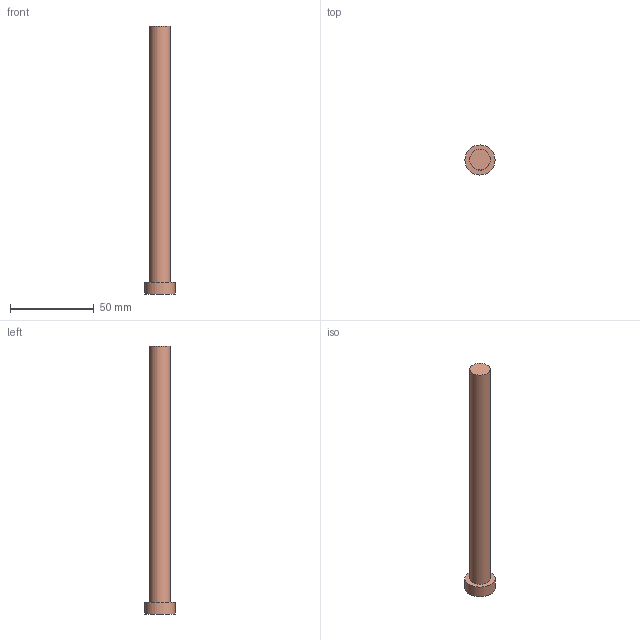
import cadquery as cq

overall_length = 160.0
head_diameter = 18.0
head_height = 7.0
shaft_diameter = 12.2

head = cq.Workplane("XY").circle(head_diameter / 2).extrude(head_height)
shaft = cq.Workplane("XY").circle(shaft_diameter / 2).extrude(overall_length)

result = head.union(shaft)